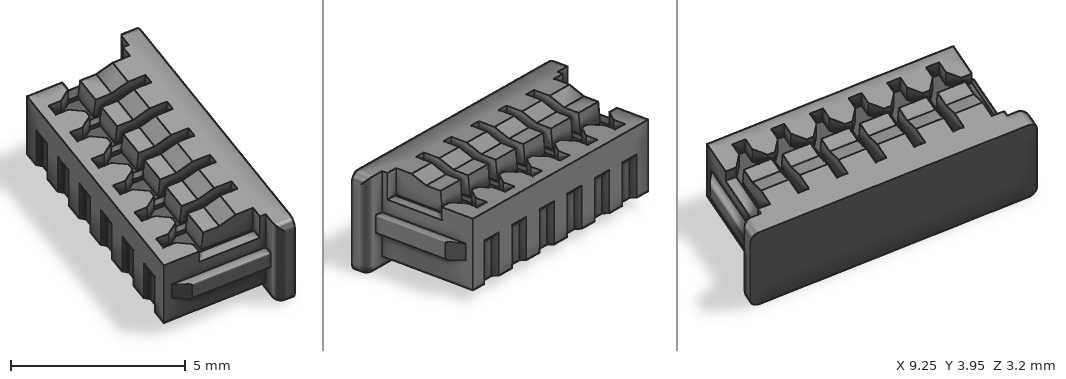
import cadquery as cq


contact_count = 6
pitch = 1.25
contact_xs = [(i - (contact_count - 1) / 2) * pitch for i in range(contact_count)]

flange_width = 9.25
total_depth = 3.95
total_height = 3.2

flange_thickness = 0.6
flange_radius = 0.3

body_width = 7.95
body_bottom = 0.45
ledge_top = 2.34
rear_wall_depth = 0.79
bar_top = 2.76
bar_depth = 1.16
bar_rear = total_depth - bar_depth

channel_width = 1.02
channel_floor = 2.2
throat_width = 0.42
throat_taper = 0.4
throat_start = bar_rear + throat_taper
throat_end = 3.6

arm_width = 0.9
arm_flat_end = 1.36
arm_step_start = 1.9
arm_step_top = 3.0
arm_tip = 2.43
arm_lean = 0.07

recess_width = 0.65
recess_top = 1.85
recess_depth = 0.15

rail_center = 1.6
rail_half_height = 0.305
rail_root_half_height = 0.27
rail_projection = 0.3
rail_edge_radius = 0.06
rail_taper_start = 3.18
rail_end = 3.69

lug_width = 0.9
lug_xs = [-2 * pitch, 2 * pitch]
lug_rear = 2.5
lug_apex = 2.87
lug_front = 3.54
lug_drop = 0.25


def block(width, y_rear, y_front, z_bottom, z_top):
    """Box centred on X; y_rear and y_front are distances forward of the rear face."""
    return (
        cq.Workplane("XY")
        .box(width, y_front - y_rear, z_top - z_bottom, centered=(True, False, False))
        .translate((0, -y_front, z_bottom))
    )


def extrude_along_x(profile, width, x_center):
    """Prism centred on x_center from (distance forward, height) points."""
    points = [(-forward, z) for forward, z in profile]
    return (
        cq.Workplane("YZ")
        .polyline(points)
        .close()
        .extrude(width / 2, both=True)
        .translate((x_center, 0, 0))
    )


def make_flange():
    """Rear plate rounded at its ends and along its bottom front edge."""
    plate = block(flange_width, 0, flange_thickness, 0, total_height)
    plate = plate.edges("|Y and <Z").fillet(flange_radius)
    plate = plate.faces("<Y").edges("not >Z").fillet(flange_radius)
    outline = block(flange_width, 0, flange_thickness, 0, total_height)
    outline = outline.edges("|Y and >Z").fillet(flange_radius)
    return plate.intersect(outline)


def make_body():
    """Stepped block: high rear wall, low ledge and raised front bar."""
    ledge = block(body_width, 0, total_depth, body_bottom, ledge_top)
    rear_wall = block(body_width, 0, rear_wall_depth, body_bottom, total_height)
    front_bar = block(body_width, bar_rear, total_depth, body_bottom, bar_top)
    return ledge.union(rear_wall).union(front_bar)


def make_channel(x_center):
    """Channel under a latch arm, narrowing to a throat inside the front bar."""
    half = channel_width / 2
    throat_half = throat_width / 2
    return (
        cq.Workplane("XY")
        .moveTo(-half, -rear_wall_depth)
        .lineTo(-half, -bar_rear)
        .lineTo(-throat_half, -throat_start)
        .lineTo(-throat_half, -throat_end)
        .lineTo(throat_half, -throat_end)
        .lineTo(throat_half, -throat_start)
        .lineTo(half, -bar_rear)
        .lineTo(half, -rear_wall_depth)
        .close()
        .extrude(total_height - channel_floor)
        .translate((x_center, 0, channel_floor))
    )


def make_arm(x_center):
    """Latch arm reaching forward from the rear wall, stepped down at its tip."""
    profile = [
        (0, ledge_top),
        (0, total_height),
        (arm_flat_end, total_height),
        (arm_step_start, arm_step_top),
        (arm_tip, arm_step_top),
        (arm_tip + arm_lean, ledge_top),
    ]
    return extrude_along_x(profile, arm_width, x_center)


def make_recess(x_center):
    """Shallow front recess with 45 degree walls, open at the underside."""
    half = recess_width / 2
    inner_half = half - recess_depth
    cutter = (
        cq.Workplane("XY")
        .moveTo(-half, -total_depth)
        .lineTo(-inner_half, recess_depth - total_depth)
        .lineTo(inner_half, recess_depth - total_depth)
        .lineTo(half, -total_depth)
        .close()
        .extrude(recess_top)
        .translate((x_center, 0, 0))
    )
    side_profile = [
        (total_depth, 0),
        (total_depth, recess_top),
        (total_depth - recess_depth, recess_top - recess_depth),
        (total_depth - recess_depth, 0),
    ]
    return cutter.intersect(extrude_along_x(side_profile, recess_width, x_center))


def make_rail():
    """Rail on the -X side: slightly undercut, with rounded outer edges and a tapered front end."""
    root_x = -body_width / 2
    outer_x = root_x - rail_projection
    section = [
        (root_x, rail_root_half_height),
        (outer_x, rail_half_height),
        (outer_x, -rail_half_height),
        (root_x, -rail_root_half_height),
    ]
    rail = (
        cq.Workplane("XZ", origin=(0, 0, rail_center))
        .polyline(section)
        .close()
        .extrude(rail_end)
        .faces("<X")
        .edges("|Y")
        .fillet(rail_edge_radius)
    )
    plan = (
        cq.Workplane("XY")
        .moveTo(root_x, 0)
        .lineTo(outer_x, 0)
        .lineTo(outer_x, -rail_taper_start)
        .lineTo(root_x, -rail_end)
        .close()
        .extrude(total_height)
    )
    return rail.intersect(plan)


def make_lug(x_center):
    """Triangular locking lug below the body."""
    profile = [
        (lug_rear, body_bottom),
        (lug_apex, body_bottom - lug_drop),
        (lug_front, body_bottom),
    ]
    return extrude_along_x(profile, lug_width, x_center)


housing = make_body().union(make_flange())
for x in contact_xs:
    housing = housing.cut(make_channel(x)).cut(make_recess(x)).union(make_arm(x))

rail = make_rail()
housing = housing.union(rail).union(rail.mirror("YZ"))
for x in lug_xs:
    housing = housing.union(make_lug(x))

result = housing